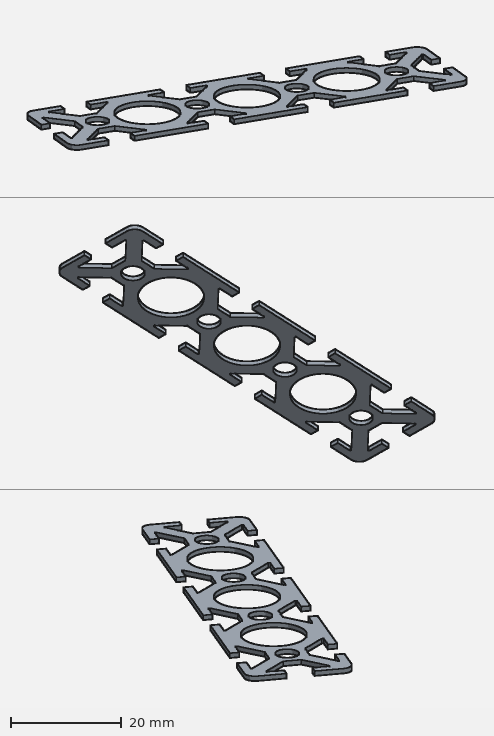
import cadquery as cq

length = 80.0
cell_count = 4
pitch = length / cell_count
width = pitch
thickness = 1.0
corner_radius = 2.0

core_hole_diameter = 4.3
large_hole_diameter = 12.0

slot_opening = 5.2
lip_thickness = 1.8
slot_inner_width = 11.7
slot_shoulder = 0.3
core_width = 7.5

slot_depth = (pitch - core_width) / 2
flank_start = lip_thickness + slot_shoulder
slot_floor_width = slot_inner_width - 2 * (slot_depth - flank_start)

cell_centers = [(i - (cell_count - 1) / 2) * pitch for i in range(cell_count)]
large_hole_centers = [(i - (cell_count - 2) / 2) * pitch for i in range(cell_count - 1)]


def make_slot(center_y, angle):
    """T-slot cutter for one cell; it opens toward +Y before turning by angle."""
    mouth = pitch / 2
    half_outline = [
        (slot_opening / 2, mouth),
        (slot_opening / 2, mouth - lip_thickness),
        (slot_inner_width / 2, mouth - lip_thickness),
        (slot_inner_width / 2, mouth - flank_start),
        (slot_floor_width / 2, mouth - slot_depth),
    ]
    mirrored_half = [(-x, y) for x, y in reversed(half_outline)]
    cutter = cq.Workplane("XY").polyline(half_outline + mirrored_half).close().extrude(thickness)
    return cutter.rotate((0, 0, 0), (0, 0, 1), angle).translate((0, center_y, 0))


result = cq.Workplane("XY").rect(width, length).extrude(thickness)
result = result.edges("|Z").fillet(corner_radius)

for center_y in cell_centers:
    result = result.cut(make_slot(center_y, 90))
    result = result.cut(make_slot(center_y, -90))

result = result.cut(make_slot(cell_centers[-1], 0))
result = result.cut(make_slot(cell_centers[0], 180))

core_holes = (
    cq.Workplane("XY")
    .pushPoints([(0, y) for y in cell_centers])
    .circle(core_hole_diameter / 2)
    .extrude(thickness)
)
large_holes = (
    cq.Workplane("XY")
    .pushPoints([(0, y) for y in large_hole_centers])
    .circle(large_hole_diameter / 2)
    .extrude(thickness)
)
result = result.cut(core_holes).cut(large_holes)